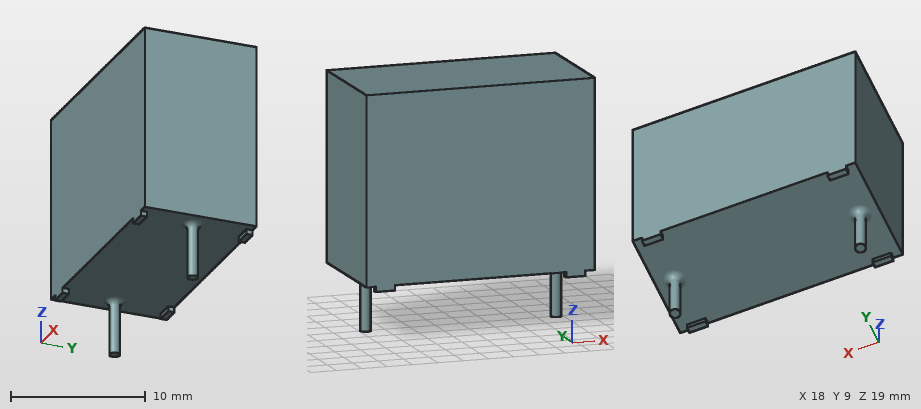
import cadquery as cq

case_length = 18.0
case_width = 9.0
overall_height = 19.0
lead_length = 4.35
case_height = overall_height - lead_length

lead_spacing = 15.0
lead_diameter = 0.8
lead_radius = lead_diameter / 2
collar_radius = 0.51

foot_length = 1.5
foot_width = 0.5
foot_height = 0.4


def make_case():
    return cq.Workplane("XY").box(case_length, case_width, case_height, centered=(True, True, False))


def make_lead(x):
    """Revolve one lead, its collar arc tangent to both the pin and the case base."""
    collar_outer_radius = lead_radius + collar_radius
    profile = (
        cq.Workplane("XZ")
        .lineTo(collar_outer_radius, 0)
        .radiusArc((lead_radius, -collar_radius), -collar_radius)
        .lineTo(lead_radius, -lead_length)
        .lineTo(0, -lead_length)
        .close()
    )
    lead = profile.revolve(360, (0, 0, 0), (0, 1, 0))
    return lead.translate((x, 0, 0))


def make_foot(x, side):
    """Make one foot; side is -1 for the -Y face of the case and 1 for the +Y face."""
    y = side * (case_width - foot_width) / 2
    foot = cq.Workplane("XY").box(foot_length, foot_width, foot_height)
    return foot.translate((x, y, -foot_height / 2))


result = make_case()
for lead_x in (-lead_spacing / 2, lead_spacing / 2):
    result = result.union(make_lead(lead_x))
    for foot_side in (-1, 1):
        result = result.union(make_foot(lead_x, foot_side))